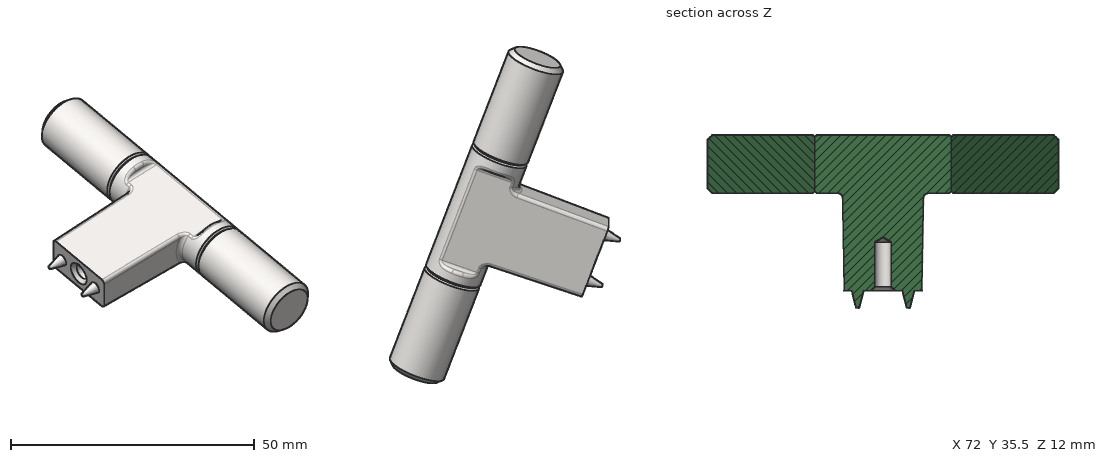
import cadquery as cq
import math

bar_length = 72.0
bar_diameter = 12.0
bar_radius = bar_diameter / 2
hub_half_length = 14.0
grip_length = bar_length / 2 - hub_half_length
grip_end_chamfer = 1.0
joint_chamfer = 0.4

arm_reach = 26.0
arm_tip_width = 16.0
arm_tip_height = 7.8
draft_angle = 1.0
edge_fillet = 0.8
arm_root_fillet = 0.9

flat_half_length = 11.0
step_fillet = 0.75

pin_spacing = 10.4
pin_base_diameter = 2.5
pin_tip_diameter = 0.7
pin_length = 3.5
pin_tip_fillet = 0.2

hole_diameter = 3.3
hole_depth = 10.0
hole_point_angle = 118.0
countersink_diameter = 5.0

tolerance = 0.01
cut_clearance = 1.0


def drafted(half_size, distance):
    """Half size of the arm at a distance from its tip."""
    return half_size + distance * math.tan(math.radians(draft_angle))


def hub_cylinder():
    """Middle stretch of the bar, chamfered where the grips meet it."""
    return (
        cq.Workplane("YZ")
        .circle(bar_radius)
        .extrude(2 * hub_half_length)
        .translate((-hub_half_length, 0, 0))
        .faces("<X or >X")
        .chamfer(joint_chamfer)
    )


def arm_block():
    """Arm with drafted sides, as tall as the bar; the flats trim its height."""
    tip = arm_tip_width / 2
    root = drafted(tip, arm_reach)
    return (
        cq.Workplane("XY")
        .polyline([(-tip, -arm_reach), (tip, -arm_reach), (root, 0), (-root, 0)])
        .close()
        .extrude(bar_radius, both=True)
    )


def waste_above_flat():
    """Material removed above the upper flat, which slopes with the draft."""
    back = bar_radius + cut_clearance
    front = -arm_reach - cut_clearance
    low = drafted(arm_tip_height / 2, -cut_clearance)
    high = drafted(arm_tip_height / 2, arm_reach + back)
    ceiling = bar_radius + cut_clearance
    return (
        cq.Workplane("YZ")
        .polyline([(front, low), (back, high), (back, ceiling), (front, ceiling)])
        .close()
        .extrude(flat_half_length, both=True)
    )


def edges_where(body, test):
    """Edges of a body that pass a test on their centre and bounding box."""
    return [edge for edge in body.edges().vals() if test(edge.Center(), edge.BoundingBox())]


def is_arm_root_edge(centre, box):
    """Where a side of the arm meets the hub cylinder."""
    spans_mid_height = box.zmin < 0 < box.zmax
    clear_of_tip = box.ymin > -arm_reach + tolerance
    return spans_mid_height and clear_of_tip and abs(centre.x) < flat_half_length


def is_step_floor_edge(centre, box):
    """Straight edge at the foot of the step at each end of a flat."""
    at_step = abs(abs(centre.x) - flat_half_length) < tolerance
    return at_step and max(abs(box.zmin), abs(box.zmax)) < bar_radius - step_fillet


def is_flat_rear_edge(centre, box):
    """Rear edge of a flat, from which the fillet runs on around the whole flat."""
    return abs(centre.x) < tolerance and 0 < centre.y < bar_radius - tolerance


def fillet_where(body, radius, test):
    """Fillet the edges of a body that pass a test."""
    return body.newObject([body.val().fillet(radius, edges_where(body, test))])


def pin(x):
    """Tapered pin standing on the arm's end face."""
    base = cq.Plane(origin=(x, -arm_reach, 0), xDir=(1, 0, 0), normal=(0, -1, 0))
    return (
        cq.Workplane(base)
        .circle(pin_base_diameter / 2)
        .workplane(offset=pin_length)
        .circle(pin_tip_diameter / 2)
        .loft()
        .faces("<Y")
        .edges()
        .fillet(pin_tip_fillet)
    )


def countersunk_hole():
    """Blind hole with a 45 degree countersink and a drilled point."""
    radius = hole_diameter / 2
    mouth = countersink_diameter / 2
    point_length = radius / math.tan(math.radians(hole_point_angle / 2))
    bottom = -arm_reach + hole_depth
    return (
        cq.Workplane("XY")
        .polyline(
            [
                (0, -arm_reach),
                (mouth, -arm_reach),
                (radius, -arm_reach + mouth - radius),
                (radius, bottom),
                (0, bottom + point_length),
            ]
        )
        .close()
        .revolve(360, (0, 0, 0), (0, 1, 0))
    )


def make_housing():
    """Hub, arm and pins as one body, with the mounting hole in the arm's end face."""
    waste = waste_above_flat()
    body = hub_cylinder().union(arm_block()).cut(waste).cut(waste.mirror("XY"))
    body = fillet_where(body, arm_root_fillet, is_arm_root_edge)
    body = fillet_where(body, step_fillet, is_step_floor_edge)
    body = fillet_where(body, edge_fillet, is_flat_rear_edge)
    for side in (-1, 1):
        body = body.union(pin(side * pin_spacing / 2))
    return body.cut(countersunk_hole())


def make_grip(side):
    """Plain grip on one end of the hub; side is -1 or +1 along X."""
    start = cq.Plane(origin=(side * hub_half_length, 0, 0), xDir=(0, 1, 0), normal=(side, 0, 0))
    grip = cq.Workplane(start).circle(bar_radius).extrude(grip_length)
    outer_face, inner_face = (">X", "<X") if side > 0 else ("<X", ">X")
    grip = grip.faces(outer_face).chamfer(grip_end_chamfer)
    return grip.faces(inner_face).chamfer(joint_chamfer)


housing = make_housing()
grips = [make_grip(side) for side in (-1, 1)]

result = cq.Compound.makeCompound([housing.val(), *[grip.val() for grip in grips]])